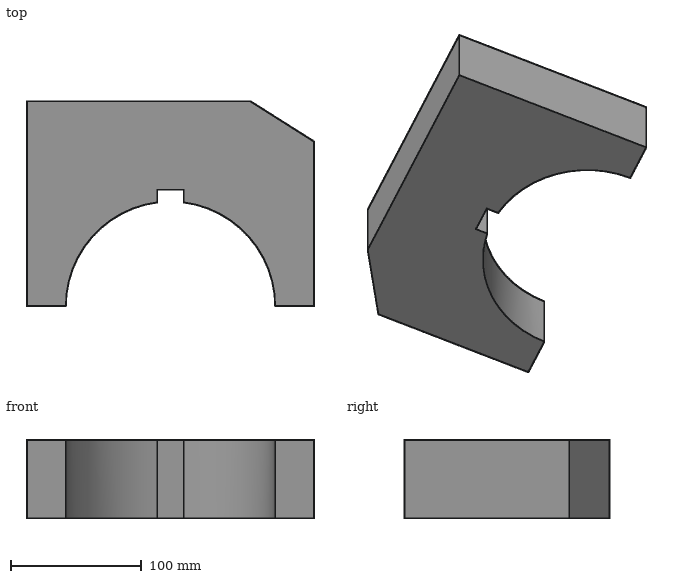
import cadquery as cq

length = 220.0
depth = 157.0
height = 60.0

bore_radius = 80.0

key_width = 20.0
key_top = 89.0

bevel_length = 49.0
bevel_depth = 31.0


def block():
    """Block with its front face on the bore axis and its rear right corner bevelled."""
    right = length / 2
    return (
        cq.Workplane("XY")
        .moveTo(-right, 0)
        .lineTo(right, 0)
        .lineTo(right, depth - bevel_depth)
        .lineTo(right - bevel_length, depth)
        .lineTo(-right, depth)
        .close()
        .extrude(height)
    )


def bore():
    """Cylinder that leaves the half-round saddle."""
    return cq.Workplane("XY").circle(bore_radius).extrude(height)


def keyway():
    """Bar centred on the bore axis; its rear half cuts the keyway."""
    return cq.Workplane("XY").rect(key_width, 2 * key_top).extrude(height)


result = block().cut(bore()).cut(keyway())